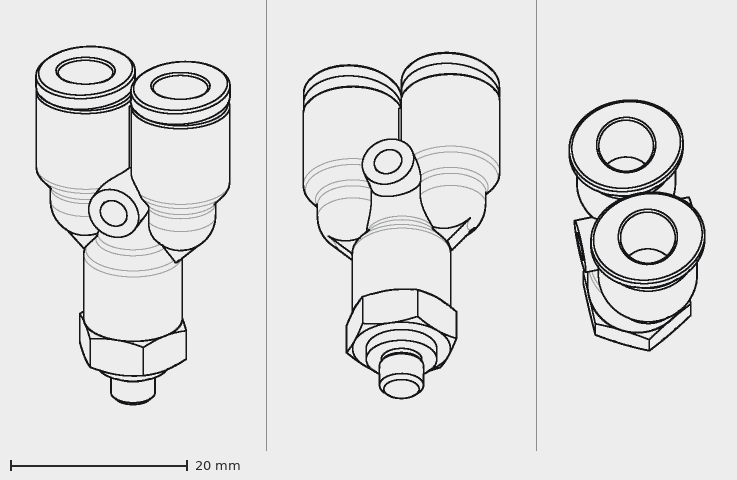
import math

import cadquery as cq


thread_radius = 2.5
thread_tip_chamfer = 0.5
undercut_radius = 2.3
undercut_bottom_z = 3.45
undercut_taper_height = 0.3
flange_bottom_z = 4.0
hex_bottom_z = 5.45
hex_top_z = 9.85
hex_across_flats = 11.1
hex_corner_drop = 0.4

body_radius = 5.6
neck_radius = 4.0
shoulder_angle = 50.0
shoulder_fillet = 1.0
shoulder_height = (body_radius - neck_radius) * math.tan(math.radians(shoulder_angle))
stem_shoulder_z = 18.45

socket_offset = 5.7
socket_shoulder_z = 27.9
socket_top_z = 38.1
socket_edge_chamfer = 0.25
socket_end_z = 24.0

overall_height = 40.45
collar_length_x = 11.0
collar_length_y = 13.0
collar_thickness = 1.65
collar_chamfer = 0.3
sleeve_radius = 3.75
bore_radius = 3.1
bore_chamfer = 0.25
bore_depth = 12.0

boss_z = 26.45
boss_radius = 3.0
boss_length = 13.2
mounting_hole_radius = 1.6

rib_thickness = 2.1
web_thickness = 1.6
web_top_z = 37.2


def at_height(z):
    return cq.Workplane("XY").workplane(offset=z)


def revolve_profile(points):
    """Revolve an (r, z) outline about the Z axis."""
    return cq.Workplane("XZ").polyline(points).close().revolve(360, (0, 0), (0, 1))


def fillet_shoulder(solid, low_z, high_z):
    """Round both ends of a conical shoulder."""
    margin = 0.01
    size = 4 * body_radius
    for z in (low_z, high_z):
        ring_zone = cq.selectors.BoxSelector((-size, -size, z - margin), (size, size, z + margin))
        solid = solid.edges("%CIRCLE").edges(ring_zone).fillet(shoulder_fillet)
    return solid


def make_stem():
    shoulder_top_z = stem_shoulder_z + shoulder_height
    body = revolve_profile([
        (0, hex_top_z),
        (body_radius, hex_top_z),
        (body_radius, stem_shoulder_z),
        (neck_radius, shoulder_top_z),
        (neck_radius, boss_z),
        (0, boss_z),
    ])
    body = fillet_shoulder(body, stem_shoulder_z, shoulder_top_z)
    threaded_end = revolve_profile([
        (0, 0),
        (thread_radius - thread_tip_chamfer, 0),
        (thread_radius, thread_tip_chamfer),
        (thread_radius, undercut_bottom_z - undercut_taper_height),
        (undercut_radius, undercut_bottom_z),
        (undercut_radius, flange_bottom_z),
        (neck_radius, flange_bottom_z),
        (neck_radius, hex_bottom_z),
        (0, hex_bottom_z),
    ])
    return threaded_end.union(make_hexagon()).union(body)


def make_hexagon():
    """Hexagon with corners on the X axis, its corners turned off conically at both ends."""
    corner_radius = hex_across_flats / 2 / math.cos(math.pi / 6)
    face_radius = hex_across_flats / 2
    prism = at_height(hex_bottom_z).polygon(6, 2 * corner_radius).extrude(hex_top_z - hex_bottom_z)
    turned_blank = revolve_profile([
        (0, hex_bottom_z),
        (face_radius, hex_bottom_z),
        (corner_radius, hex_bottom_z + hex_corner_drop),
        (corner_radius, hex_top_z - hex_corner_drop),
        (face_radius, hex_top_z),
        (0, hex_top_z),
    ])
    return prism.intersect(turned_blank)


def make_socket():
    """Socket on the Z axis: body, shoulder and neck closed by a hemisphere."""
    shoulder_bottom_z = socket_shoulder_z - shoulder_height
    body = revolve_profile([
        (0, socket_end_z),
        (neck_radius, socket_end_z),
        (neck_radius, shoulder_bottom_z),
        (body_radius, socket_shoulder_z),
        (body_radius, socket_top_z),
        (0, socket_top_z),
    ])
    body = fillet_shoulder(body, shoulder_bottom_z, socket_shoulder_z)
    body = body.faces(">Z").edges().chamfer(socket_edge_chamfer)
    rounded_end = cq.Workplane("XY").sphere(neck_radius).translate((0, 0, socket_end_z))
    return body.union(rounded_end)


def make_collar():
    """Oval collar and its sleeve on the Z axis."""
    rim_bottom_z = overall_height - collar_thickness
    rim = at_height(rim_bottom_z).ellipse(collar_length_x / 2, collar_length_y / 2).extrude(collar_thickness)
    rim = rim.faces(">Z").edges().chamfer(collar_chamfer)
    sleeve = at_height(socket_top_z).circle(sleeve_radius).extrude(rim_bottom_z - socket_top_z)
    return rim.union(sleeve)


def make_bore():
    """Blind tube bore with a chamfered mouth, on the Z axis."""
    bore_floor_z = overall_height - bore_depth
    return revolve_profile([
        (0, bore_floor_z),
        (bore_radius, bore_floor_z),
        (bore_radius, overall_height - bore_chamfer),
        (bore_radius + bore_chamfer, overall_height),
        (0, overall_height),
    ])


def make_ribs():
    """45-degree ribs from the stem shoulder out to the hemispherical socket ends."""
    rise = socket_end_z - stem_shoulder_z
    rib_rise = rise - neck_radius / math.sqrt(2)
    outline = [
        (0, stem_shoulder_z),
        (body_radius, stem_shoulder_z),
        (body_radius + rib_rise, stem_shoulder_z + rib_rise),
        (socket_offset, socket_end_z),
        (0, socket_end_z),
    ]
    rib = cq.Workplane("XZ").polyline(outline).close().extrude(rib_thickness / 2, both=True)
    return rib.union(rib.mirror("YZ"))


def make_web():
    """Thin wall closing the gap between the two sockets."""
    web_height = web_top_z - boss_z
    return at_height(boss_z).rect(socket_offset, web_thickness).extrude(web_height)


def make_boss():
    return cq.Workplane("XZ").center(0, boss_z).circle(boss_radius).extrude(boss_length / 2, both=True)


def make_mounting_hole():
    return cq.Workplane("XZ").center(0, boss_z).circle(mounting_hole_radius).extrude(boss_length, both=True)


result = make_stem().union(make_boss()).union(make_ribs()).union(make_web())
for side in (-1, 1):
    socket_shift = (side * socket_offset, 0, 0)
    result = result.union(make_socket().translate(socket_shift))
    result = result.union(make_collar().translate(socket_shift))
    result = result.cut(make_bore().translate(socket_shift))
result = result.cut(make_mounting_hole())